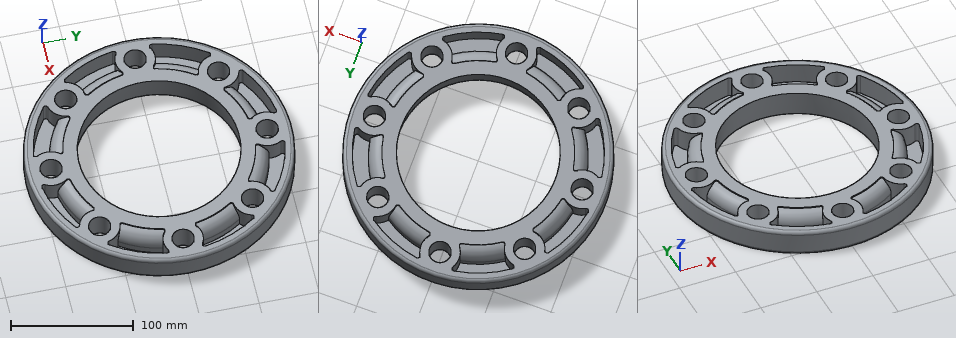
import cadquery as cq
import math

outer_diameter = 220.6
bore_top_diameter = 133.0
bore_bottom_diameter = 137.4
thickness = 23.45
rim_fillet = 3.0

hole_count = 8
hole_diameter = 18.0
bolt_circle_diameter = 180.0

pocket_outer_radius = 102.5
pocket_inner_radius = 78.4
pocket_floor = 5.0
boss_radius = 16.5
outer_corner_radius = 2.0
inner_corner_radius = 1.8

shoulder_radius = 11.0
shoulder_step = 1.0

pocket_depth = thickness - pocket_floor
pocket_middle_radius = (pocket_inner_radius + pocket_outer_radius) / 2
shoulder_outer_radius = pocket_inner_radius + shoulder_radius
shoulder_top = thickness - shoulder_step


def bolt_pattern(workplane):
    """Place points on the bolt circle, the first one on the X axis."""
    return workplane.polarArray(bolt_circle_diameter / 2, 0, 360, hole_count)


def make_ring():
    """Ring with rounded outer rims and a bore that tapers wider toward the bottom."""
    disc = cq.Workplane("XY").circle(outer_diameter / 2).extrude(thickness)
    disc = disc.faces("<Z or >Z").edges().fillet(rim_fillet)
    bore = (
        cq.Workplane("XY")
        .circle(bore_bottom_diameter / 2)
        .workplane(offset=thickness)
        .circle(bore_top_diameter / 2)
        .loft(ruled=True)
    )
    return disc.cut(bore)


def is_inner_corner(edge):
    """Tell whether an upright pocket edge lies on the inner pocket wall."""
    center = edge.Center()
    return math.hypot(center.x, center.y) < pocket_middle_radius


def is_outer_corner(edge):
    """Tell whether an upright pocket edge lies on the outer pocket wall."""
    return not is_inner_corner(edge)


def make_pockets():
    """Annular groove split into separate pockets by the bolt hole bosses."""
    floor_plane = cq.Workplane("XY").workplane(offset=pocket_floor)
    groove = floor_plane.circle(pocket_outer_radius).circle(pocket_inner_radius).extrude(pocket_depth)
    bosses = bolt_pattern(floor_plane).circle(boss_radius).extrude(pocket_depth)
    pockets = groove.cut(bosses)
    pockets = pockets.edges("|Z").filter(is_inner_corner).fillet(inner_corner_radius)
    return pockets.edges("|Z").filter(is_outer_corner).fillet(outer_corner_radius)


def make_shoulder():
    """Revolved body with a quarter-round outer edge, left standing in the pockets."""
    inside_radius = bore_top_diameter / 2
    profile = (
        cq.Workplane("XZ")
        .moveTo(inside_radius, pocket_floor)
        .lineTo(shoulder_outer_radius, pocket_floor)
        .lineTo(shoulder_outer_radius, shoulder_top - shoulder_radius)
        .radiusArc((pocket_inner_radius, shoulder_top), -shoulder_radius)
        .lineTo(inside_radius, shoulder_top)
        .close()
    )
    return profile.revolve(360, (0, 0, 0), (0, 1, 0))


def make_bolt_holes():
    """Plain through holes on the bolt circle."""
    return bolt_pattern(cq.Workplane("XY")).circle(hole_diameter / 2).extrude(thickness)


pocket_voids = make_pockets().cut(make_shoulder())
result = make_ring().cut(pocket_voids).cut(make_bolt_holes())